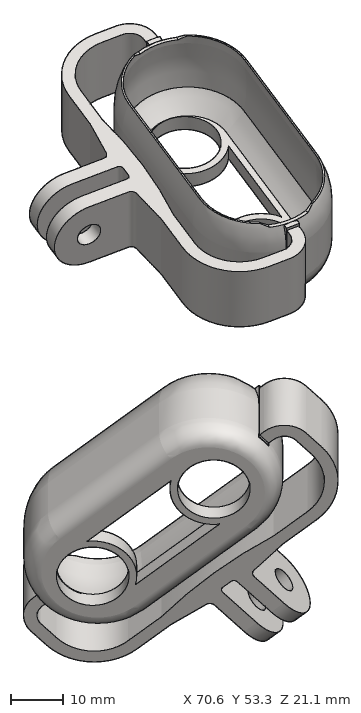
import cadquery as cq

overall_depth = 53.3

cup_height = 21.05
cup_radius = 14.1
cup_half_length = 28.4
end_centre = cup_half_length - cup_radius
base_radius = 10.75
belly_bottom = 4.9
belly_top = 14.5
rim_radius = 12.7
rim_thickness = 0.35
lip_height = 2.0
cavity_radius = 12.7
slope_top_radius = 12.15
slope_top = 7.4
floor_radius = 8.3
slope_sag = 0.3
floor_thickness = 3.5

hole_radius = 6.9
hole_centre = 15.55
hole_ring_width = 1.5

dip_depth = 0.85
dip_top_width = 11.3
dip_bottom_width = 8.2

band_height = 15.05
band_bottom = 4.5
band_thickness = 2.6
band_half_length = 35.3
band_back = 1.3
band_front = -21.05
back_corner_radius = 5.65
front_corner_radius = 12.3
thick_half_length = 14.4
inner_bulge = 1.05
outer_taper = 1.05

pad_height = 16.4
pad_width = 2.8
pad_depth = 1.05

prong_outer = 5.1
prong_gap = 3.75
pin_hole_diameter = 5.0
root_fillet = 1.2
gap_fillet = 0.85

band_middle = band_bottom + band_height / 2
prong_end_radius = band_height / 2
prong_pin_y = cup_radius - overall_depth + prong_end_radius


def stadium_solid(profile):
    """Sweep a half section (radius, Z) round a stadium path."""
    section = profile.val()
    turned = cq.Workplane("YZ").add(section).toPending().revolve(180, (0, 0, 0), (0, 1, 0))
    end = turned.translate((-end_centre, 0, 0))
    side = cq.Workplane("YZ").add(section).toPending().extrude(end_centre, both=True)
    straight = side.union(side.mirror("XZ"))
    return straight.union(end).union(end.mirror("YZ"))


def outer_body():
    bottom_round = cup_radius - base_radius
    profile = (
        cq.Workplane("YZ")
        .lineTo(base_radius, 0)
        .ellipseArc(bottom_round, belly_bottom, 270, 360, startAtCurrent=True)
        .lineTo(cup_radius, belly_top)
        .tangentArcPoint((rim_radius, cup_height), relative=False)
        .lineTo(0, cup_height)
        .close()
    )
    return stadium_solid(profile)


def cavity():
    mouth_radius = rim_radius - rim_thickness
    lip_bottom = cup_height - lip_height
    slope_middle = (
        (floor_radius + slope_top_radius) / 2 + slope_sag,
        (floor_thickness + slope_top) / 2,
    )
    profile = (
        cq.Workplane("YZ")
        .moveTo(0, floor_thickness)
        .lineTo(floor_radius, floor_thickness)
        .threePointArc(slope_middle, (slope_top_radius, slope_top))
        .threePointArc((cavity_radius, (slope_top + lip_bottom) / 2), (mouth_radius, lip_bottom))
        .lineTo(mouth_radius, cup_height)
        .lineTo(0, cup_height)
        .close()
    )
    return stadium_solid(profile)


def floor_openings():
    hole_centres = [(-hole_centre, 0), (hole_centre, 0)]
    holes = cq.Workplane("XY").pushPoints(hole_centres).circle(hole_radius).extrude(floor_thickness)
    rings = (
        cq.Workplane("XY")
        .pushPoints(hole_centres)
        .circle(hole_radius + hole_ring_width)
        .extrude(floor_thickness)
    )
    window = cq.Workplane("XY").rect(2 * hole_centre, 2 * hole_radius).extrude(floor_thickness)
    return window.cut(rings).union(holes)


def rim_dips():
    dip_bottom = cup_height - dip_depth
    return (
        cq.Workplane("YZ")
        .moveTo(-dip_top_width / 2, cup_height)
        .lineTo(-dip_bottom_width / 2, dip_bottom)
        .lineTo(dip_bottom_width / 2, dip_bottom)
        .lineTo(dip_top_width / 2, cup_height)
        .close()
        .extrude(cup_half_length, both=True)
    )


def loop_block(inset):
    """Rounded block bounding the bracket, moved inwards all round by the inset."""
    half_length = band_half_length - inset
    back = band_back - inset
    front = band_front + inset
    block = (
        cq.Workplane("XY", origin=(0, (back + front) / 2, band_middle))
        .box(2 * half_length, back - front, band_height)
    )
    return (
        block.edges("|Z and >Y").fillet(back_corner_radius - inset)
        .edges("|Z and <Y").fillet(front_corner_radius - inset)
    )


def thick_middle():
    inner_front = band_front + band_thickness
    return (
        cq.Workplane("XY", origin=(0, 0, band_bottom))
        .moveTo(-thick_half_length, inner_front)
        .threePointArc((0, inner_front + inner_bulge), (thick_half_length, inner_front))
        .lineTo(thick_half_length, band_front)
        .lineTo(prong_outer, band_front - outer_taper)
        .lineTo(-prong_outer, band_front - outer_taper)
        .lineTo(-thick_half_length, band_front)
        .close()
        .extrude(band_height)
    )


def prongs():
    length = band_front - prong_pin_y
    bar = (
        cq.Workplane("XY", origin=(0, prong_pin_y + length / 2, band_middle))
        .box(2 * prong_outer, length, band_height)
    )
    round_end = (
        cq.Workplane("YZ", origin=(0, prong_pin_y, band_middle))
        .circle(prong_end_radius)
        .extrude(prong_outer, both=True)
    )
    return bar.union(round_end)


def prong_slot():
    length = band_front - prong_pin_y + prong_end_radius
    return (
        cq.Workplane("XY", origin=(0, band_front - length / 2, band_middle))
        .box(prong_gap, length, band_height)
        .edges("|Z and >Y")
        .fillet(gap_fillet)
    )


def pin_hole():
    return (
        cq.Workplane("YZ", origin=(0, prong_pin_y, band_middle))
        .circle(pin_hole_diameter / 2)
        .extrude(prong_outer, both=True)
    )


def bracket():
    margin = 0.1
    root_y = band_front - outer_taper
    root_edges = cq.selectors.BoxSelector(
        (-prong_outer - margin, root_y - margin, band_bottom),
        (prong_outer + margin, root_y + margin, band_bottom + band_height),
    )
    band = loop_block(0).cut(loop_block(band_thickness))
    solid = band.union(thick_middle()).union(prongs())
    solid = solid.edges("|Z").edges(root_edges).fillet(root_fillet)
    return solid.cut(prong_slot()).cut(pin_hole())


def pads():
    inner_length = 2 * (cup_half_length - pad_depth)
    inside = cq.Workplane("XY", origin=(0, 0, band_middle)).box(inner_length, pad_width, pad_height)
    return (
        cq.Workplane("XY", origin=(0, 0, band_middle))
        .box(2 * cup_half_length, pad_width, pad_height)
        .cut(inside)
    )


result = (
    outer_body()
    .union(bracket())
    .union(pads())
    .cut(cavity())
    .cut(floor_openings())
    .cut(rim_dips())
)